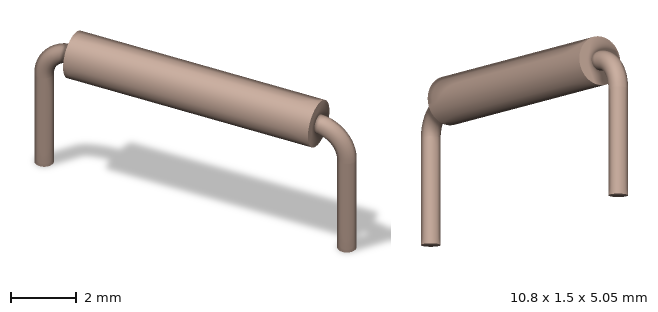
import cadquery as cq

wire_diameter = 0.6
body_diameter = 1.5
body_length = 8.25
lead_pitch = 10.2
bend_radius = 1.0
leg_length = 3.3

axis_height = leg_length + bend_radius
leg_x = lead_pitch / 2
bend_start_x = leg_x - bend_radius


def make_body():
    """Cylindrical body along X, starting where the -X bend meets the wire axis line."""
    return (
        cq.Workplane("YZ", origin=(-bend_start_x, 0, axis_height))
        .circle(body_diameter / 2)
        .extrude(body_length)
    )


def make_wire():
    """Round wire through the body, bent down into a leg at each end."""
    path = (
        cq.Workplane("XZ")
        .moveTo(-leg_x, 0)
        .lineTo(-leg_x, leg_length)
        .radiusArc((-bend_start_x, axis_height), bend_radius)
        .lineTo(bend_start_x, axis_height)
        .radiusArc((leg_x, leg_length), bend_radius)
        .lineTo(leg_x, 0)
    )
    return (
        cq.Workplane("XY", origin=(-leg_x, 0, 0))
        .circle(wire_diameter / 2)
        .sweep(path)
    )


result = make_body().union(make_wire())